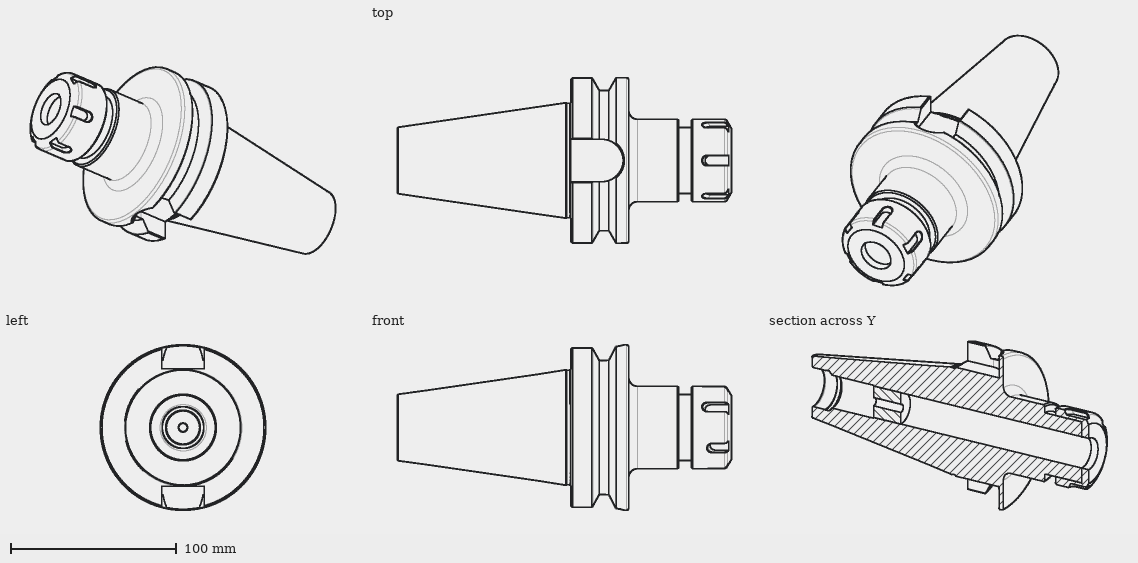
import cadquery as cq
import math


GAUGE_DIA = 69.85
TAPER_LENGTH = 101.8
TAPER_RATIO = 7 / 24
SHANK_END_CHAMFER = 0.6
RELIEF_DIA = 69.25
RELIEF_RAMP = 0.5
RELIEF_FILLET = 0.8

FLANGE_DIA = 100.0
FLANGE_START = 3.0
FLANGE_END = 38.0
FLANGE_CHAMFER = 1.0
FLANGE_FILLET = 1.5
GROOVE_CENTER = 23.0
GROOVE_DIA = 85.0
GROOVE_FLOOR_WIDTH = 5.8
GROOVE_HALF_ANGLE = 30.0
LIP_CHAMFER = 0.6

SLOT_WIDTH = 25.6
SLOT_FLOOR_HEIGHT = 35.4
SLOT_END = 34.5
SLOT_EDGE_CHAMFER = 0.7

BODY_DIA = 50.0
BODY_END = 68.2
BODY_CHAMFER = 1.0
BODY_FILLET = 5.0
SPIGOT_DIA = 40.0

BORE_DIA = 25.0
BORE_DEPTH = 10.0
BORE_MOUTH_FILLET = 1.5
UNDERCUT_DIA = 25.6
UNDERCUT_WIDTH = 2.6
THREAD_DIA = 21.0
THREAD_DEPTH = 45.0
SCREW_DIA = 20.0
BORE_CONE_ANGLE = 45.0
SCREW_LENGTH = 20.0
COOLANT_DIA = 5.0
COOLANT_CHAMFER = 0.25

NUT_DIA = 50.0
NUT_START = 75.6
NUT_END = 100.0
NUT_REAR_CHAMFER = 1.0
NUT_FACE_DIA = 38.38
NUT_CONE_ANGLE = 60.0
NUT_CORNER_FILLET = 2.0
NUT_WALL = 5.0
NUT_OPENING_DIA = SCREW_DIA

SPANNER_SLOT_COUNT = 6
SPANNER_SLOT_WIDTH = 6.0
SPANNER_SLOT_LEAN = 30.0
SPANNER_SLOT_CHAMFER = 0.3
SPANNER_SLOT_FLOOR = 22.0
UPPER_SLOT_START = 82.3
LOWER_SLOT_START = 85.3

SHANK_END = -TAPER_LENGTH
SPIGOT_END = NUT_END - NUT_WALL
SCREW_START = SHANK_END + THREAD_DEPTH

TOLERANCE = 0.001


class OnCylinder(cq.Selector):
    """Selects the edges that lie on a cylinder about the X axis, other than full or part circles."""

    def __init__(self, radius):
        self.radius = radius

    def lies_on(self, edge):
        points = edge.positions([0, 0.25, 0.5, 0.75, 1])
        return all(abs(math.hypot(p.y, p.z) - self.radius) < TOLERANCE for p in points)

    def filter(self, objects):
        return [edge for edge in objects if edge.geomType() != "CIRCLE" and self.lies_on(edge)]


def arc_inset(radius):
    """Distance from each side of a right-angled corner to the middle of its fillet arc."""
    return radius * (1 - math.sqrt(0.5))


def turned(points):
    """Solid turned about the X axis from a closed outline of (x, radius) points."""
    return cq.Workplane("XY").polyline(points).close().revolve(360, (0, 0, 0), (1, 0, 0))


def cylinder(start, end, dia):
    return cq.Workplane("YZ", origin=(start, 0, 0)).circle(dia / 2).extrude(end - start)


def holder_blank():
    end_radius = (GAUGE_DIA - TAPER_LENGTH * TAPER_RATIO) / 2
    flange_radius = FLANGE_DIA / 2
    body_radius = BODY_DIA / 2
    groove_radius = GROOVE_DIA / 2
    flank_slope = math.tan(math.radians(GROOVE_HALF_ANGLE))
    floor_half = GROOVE_FLOOR_WIDTH / 2
    lip_half = floor_half + (flange_radius - LIP_CHAMFER - groove_radius) * flank_slope
    corner_mid = arc_inset(BODY_FILLET)
    relief_mid = arc_inset(RELIEF_FILLET)
    rim_mid = arc_inset(FLANGE_FILLET)
    outline = (
        cq.Workplane("XY")
        .moveTo(SHANK_END, 0)
        .lineTo(SHANK_END, end_radius - SHANK_END_CHAMFER)
        .lineTo(SHANK_END + SHANK_END_CHAMFER, end_radius + SHANK_END_CHAMFER * TAPER_RATIO / 2)
        .lineTo(0, GAUGE_DIA / 2)
        .lineTo(RELIEF_RAMP, RELIEF_DIA / 2)
        .lineTo(FLANGE_START - RELIEF_FILLET, RELIEF_DIA / 2)
        .threePointArc(
            (FLANGE_START - relief_mid, RELIEF_DIA / 2 + relief_mid),
            (FLANGE_START, RELIEF_DIA / 2 + RELIEF_FILLET),
        )
        .lineTo(FLANGE_START, flange_radius - FLANGE_CHAMFER)
        .lineTo(FLANGE_START + FLANGE_CHAMFER, flange_radius)
        .lineTo(GROOVE_CENTER - lip_half - LIP_CHAMFER, flange_radius)
        .lineTo(GROOVE_CENTER - lip_half, flange_radius - LIP_CHAMFER)
        .lineTo(GROOVE_CENTER - floor_half, groove_radius)
        .lineTo(GROOVE_CENTER + floor_half, groove_radius)
        .lineTo(GROOVE_CENTER + lip_half, flange_radius - LIP_CHAMFER)
        .lineTo(GROOVE_CENTER + lip_half + LIP_CHAMFER, flange_radius)
        .lineTo(FLANGE_END - FLANGE_FILLET, flange_radius)
        .threePointArc(
            (FLANGE_END - rim_mid, flange_radius - rim_mid),
            (FLANGE_END, flange_radius - FLANGE_FILLET),
        )
        .lineTo(FLANGE_END, body_radius + BODY_FILLET)
        .threePointArc(
            (FLANGE_END + corner_mid, body_radius + corner_mid),
            (FLANGE_END + BODY_FILLET, body_radius),
        )
        .lineTo(BODY_END - BODY_CHAMFER, body_radius)
        .lineTo(BODY_END, body_radius - BODY_CHAMFER)
        .lineTo(BODY_END, SPIGOT_DIA / 2)
        .lineTo(SPIGOT_END, SPIGOT_DIA / 2)
        .lineTo(SPIGOT_END, 0)
        .close()
    )
    return outline.revolve(360, (0, 0, 0), (1, 0, 0))


def holder_bore():
    rounding = BORE_MOUTH_FILLET
    arc_mid = arc_inset(rounding)
    bore_radius = BORE_DIA / 2
    undercut_start = SHANK_END + BORE_DEPTH
    undercut_end = undercut_start + UNDERCUT_WIDTH
    cone_height = (UNDERCUT_DIA - THREAD_DIA) / 2
    thread_start = undercut_end + cone_height / math.tan(math.radians(BORE_CONE_ANGLE))
    outline = (
        cq.Workplane("XY")
        .moveTo(SHANK_END, 0)
        .lineTo(SHANK_END, bore_radius + rounding)
        .threePointArc(
            (SHANK_END + arc_mid, bore_radius + arc_mid),
            (SHANK_END + rounding, bore_radius),
        )
        .lineTo(undercut_start, bore_radius)
        .lineTo(undercut_start, UNDERCUT_DIA / 2)
        .lineTo(undercut_end, UNDERCUT_DIA / 2)
        .lineTo(thread_start, THREAD_DIA / 2)
        .lineTo(SCREW_START, THREAD_DIA / 2)
        .lineTo(SCREW_START, SCREW_DIA / 2)
        .lineTo(SPIGOT_END, SCREW_DIA / 2)
        .lineTo(SPIGOT_END, 0)
        .close()
    )
    return outline.revolve(360, (0, 0, 0), (1, 0, 0))


def drive_slot():
    """Slot on the +Z side, open towards the shank and with a full round end."""
    half_width = SLOT_WIDTH / 2
    return (
        cq.Workplane("XY", origin=(0, 0, SLOT_FLOOR_HEIGHT))
        .moveTo(FLANGE_START, -half_width)
        .lineTo(SLOT_END - half_width, -half_width)
        .threePointArc((SLOT_END, 0), (SLOT_END - half_width, half_width))
        .lineTo(FLANGE_START, half_width)
        .close()
        .extrude(FLANGE_DIA / 2)
    )


def make_holder():
    slot = drive_slot()
    opposite_slot = slot.rotate((0, 0, 0), (1, 0, 0), 180)
    holder = holder_blank().cut(holder_bore()).cut(slot).cut(opposite_slot)
    return holder.edges(OnCylinder(FLANGE_DIA / 2)).chamfer(SLOT_EDGE_CHAMFER)


def make_stop_screw():
    """Screw with a coolant hole, filling the bore ahead of the thread."""
    end = SCREW_START + SCREW_LENGTH
    screw = cylinder(SCREW_START, end, SCREW_DIA).cut(cylinder(SCREW_START, end, COOLANT_DIA))
    rear_hole_edge = screw.faces("<X").edges(cq.selectors.RadiusNthSelector(0))
    return rear_hole_edge.chamfer(COOLANT_CHAMFER)


def nut_blank():
    nut_radius = NUT_DIA / 2
    face_radius = NUT_FACE_DIA / 2
    cone_length = (nut_radius - face_radius) / math.tan(math.radians(NUT_CONE_ANGLE))
    corner_x = NUT_END - cone_length
    blank = turned([
        (NUT_START, 0),
        (NUT_START, nut_radius - NUT_REAR_CHAMFER),
        (NUT_START + NUT_REAR_CHAMFER, nut_radius),
        (corner_x, nut_radius),
        (NUT_END, face_radius),
        (NUT_END, 0),
    ])
    corner = cq.selectors.BoxSelector(
        (corner_x - TOLERANCE, -NUT_DIA, -NUT_DIA),
        (corner_x + TOLERANCE, NUT_DIA, NUT_DIA),
        boundingbox=True,
    )
    return blank.edges(corner).fillet(NUT_CORNER_FILLET)


def spanner_slot(start):
    """Slot on the +Z side, open at the front, with a round rear end that leans back."""
    half_width = SPANNER_SLOT_WIDTH / 2
    depth = NUT_DIA / 2 - SPANNER_SLOT_FLOOR
    cut_height = 2 * depth
    slope = math.tan(math.radians(SPANNER_SLOT_LEAN))
    floor_start = start + depth * slope
    open_end = NUT_END + cut_height
    floor = (
        cq.Workplane("XY", origin=(0, 0, SPANNER_SLOT_FLOOR))
        .moveTo(open_end, -half_width)
        .lineTo(floor_start + half_width, -half_width)
        .threePointArc((floor_start, 0), (floor_start + half_width, half_width))
        .lineTo(open_end, half_width)
        .close()
    )
    leaning = cq.Vector(-cut_height * slope, 0, cut_height)
    return cq.Workplane(cq.Solid.extrudeLinear(floor.val(), [], leaning))


def make_nut():
    nut = nut_blank()
    nut = nut.cut(cylinder(NUT_START, SPIGOT_END, SPIGOT_DIA))
    nut = nut.cut(cylinder(SPIGOT_END, NUT_END, NUT_OPENING_DIA))
    for index in range(SPANNER_SLOT_COUNT):
        angle = index * 360 / SPANNER_SLOT_COUNT
        on_upper_half = math.cos(math.radians(angle)) > 0
        start = UPPER_SLOT_START if on_upper_half else LOWER_SLOT_START
        nut = nut.cut(spanner_slot(start).rotate((0, 0, 0), (1, 0, 0), angle))
    return nut.edges(OnCylinder(NUT_DIA / 2)).chamfer(SPANNER_SLOT_CHAMFER)


holder = make_holder()
stop_screw = make_stop_screw()
nut = make_nut()

result = cq.Compound.makeCompound([holder.val(), stop_screw.val(), nut.val()])